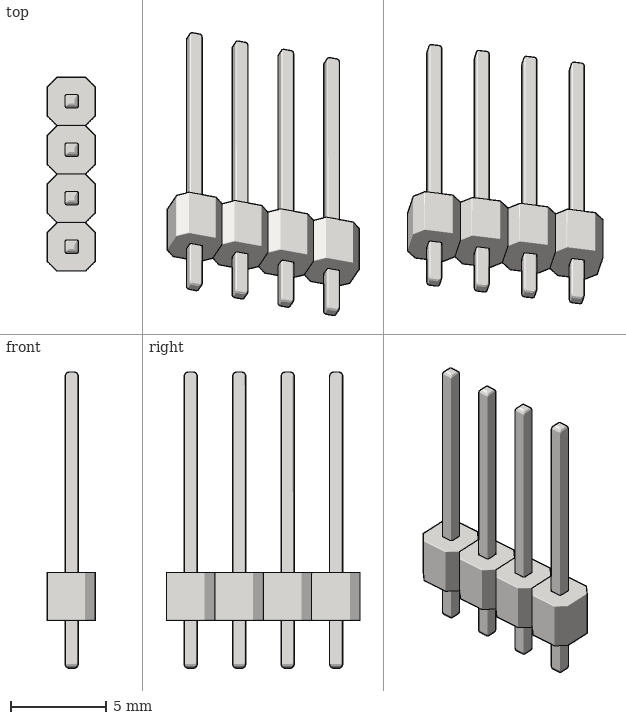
import cadquery as cq

pin_count = 4
pitch = 2.54

block_width = pitch
block_height = 2.54
block_corner_cut = 0.52
block_edge_radius = 0.05

pin_width = 0.7
pin_corner_radius = 0.1
pin_tip_radius = 0.25
pin_above_block = 10.5
pin_below_block = 2.5
pin_offset_x = 0.025
pin_offset_y = 0.01
pin_length = pin_below_block + block_height + pin_above_block


def rounded_slab():
    """Slab as tall as the pin and one pin width thick, with its ends rounded across X."""
    return (
        cq.Workplane("XY")
        .workplane(offset=-pin_below_block)
        .rect(pin_width, 2 * pin_width)
        .extrude(pin_length)
        .edges("|Y")
        .fillet(pin_tip_radius)
    )


def make_pin():
    """Square pin whose tips curve in on all four sides, with its corner edges rounded."""
    slab = rounded_slab()
    crossing_slab = slab.rotate((0, 0, 0), (0, 0, 1), 90)
    pin = slab.intersect(crossing_slab)
    pin = pin.edges("|Z").fillet(pin_corner_radius)
    return pin.translate((pin_offset_x, pin_offset_y, 0))


def make_block():
    """Octagonal block with lightly rounded edges and a hole that fits the pin."""
    block = cq.Workplane("XY").rect(block_width, block_width).extrude(block_height)
    block = block.edges("|Z").chamfer(block_corner_cut)
    block = block.edges().fillet(block_edge_radius)
    hole_plane = cq.Workplane("XY").center(pin_offset_x, pin_offset_y)
    pin_hole = hole_plane.rect(pin_width, pin_width).extrude(block_height)
    pin_hole = pin_hole.edges("|Z").fillet(pin_corner_radius)
    return block.cut(pin_hole)


row_positions = [(i - (pin_count - 1) / 2) * pitch for i in range(pin_count)]

blocks = []
pins = []
for y in row_positions:
    blocks.append(make_block().translate((0, y, 0)).solids().val())
    pins.append(make_pin().translate((0, y, 0)).solids().val())

result = cq.Compound.makeCompound([*blocks, *pins])